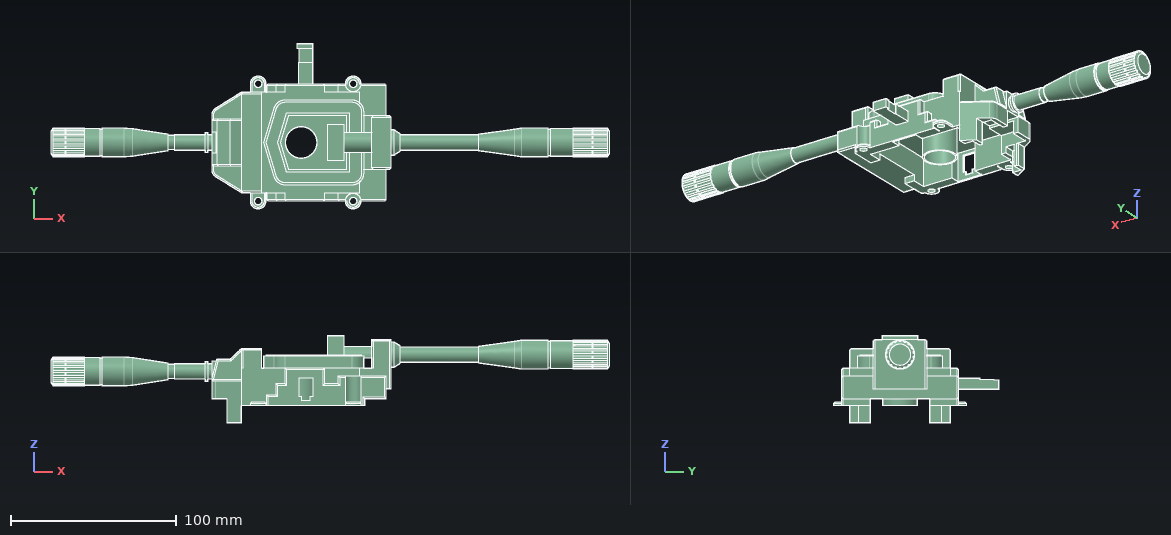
import cadquery as cq
import math


HALF_LENGTH = 168.7

DECK_Z = 22.5
SHELF_Z = 16.0
RAISED_Z = 4.0
CAVITY_TOP_Z = 19.0
HEAD_Z = 34.5
LEG_BOTTOM_Z = -10.5
TAB_THICKNESS = 2.2

BODY_HALF_WIDTH = 35.5
INNER_HALF_WIDTH = 30.5
CAVITY_HALF_WIDTH = 27.5
PASSAGE_HALF_WIDTH = 18.0
FRONT_X = -53.5
DECK_END_X = 17.5
TOE_END_X = 21.0
FOOT_END_X = 33.7
FOOT_TOP_Z = 18.0
EDGE_CHAMFER = 1.0
WALL = 3.5
BAY_WALL = 1.5
HEAD_END_X = -41.5

SHELF_FRONT_X = -71.5
SHELF_FRONT_HALF_WIDTH = 19.2
SHELF_CORNER_RADIUS = 5.0
SHELF_SLOT_HALF_WIDTH = 5.5
LEG_FRONT_X = -62.5
LEG_WALL = 2.7
LEG_INNER_HALF_WIDTH = 25.0
LEFT_AXIS_Z = 20.5
NOSE_HALF_WIDTH = 14.2
NOSE_TOP_Z = 28.0
NOSE_TOP_FRONT_X = -68.5
NOSE_TOP_REAR_X = -60.5
PAD_REAR_X = -69.0
PAD_HALF_SIZE = 6.5
PAD_Z = (LEFT_AXIS_Z - PAD_HALF_SIZE, LEFT_AXIS_Z + PAD_HALF_SIZE)

POST_X = (25.0, 36.8)
POST_Z = (10.0, 39.8)
POST_HALF_WIDTH = 16.2

RIM_TOP_Z = 30.5
RIM_SLOPE = 0.3
RIM_CORNER_RADIUS = 7.0
RIM_OUTER = (-40.0, 20.2, 25.5)
RIM_INNER = (-30.0, 9.8, 16.2)
RIM_OUTER_LEDGE = 1.5
RIM_INNER_LEDGE = 1.7
RIM_LEDGE_DEPTH = 0.5

TUBE_X = -17.5
TUBE_RADIUS = 10.5
TUBE_BORE_RADIUS = 9.5

FRONT_TAB_X = -43.5
REAR_TAB_X = 14.0
TAB_Y = 35.5
TAB_RADIUS = 4.7
TAB_HOLE_RADIUS = 2.2

STEP_X = (-38.5, -32.7, -27.3)
STEP_Z = (6.5, 13.0)
REAR_STEP_X = (-3.5, 4.7)

ARM_X = (-19.0, -10.5)
ARM_Z = (9.8, 16.5)
ARM_STEP_Y = 48.2
ARM_STEP = 1.0
ARM_SIDE_STEP = 0.5
ARM_END_Y = 59.7
ARM_LIP_LENGTH = 3.0
ARM_LIP = 1.18
ARM_LIP_DROP = 0.5
WINDOW_Z = (5.5, 16.5)
WINDOW_NOTCH_X = (-17.2, -12.0)
WINDOW_NOTCH_Z = 3.0

RIGHT_AXIS_Z = 30.7
ROD_RADIUS = 4.7
GRIP_RADIUS = 8.8
GRIP_ROOT_RADIUS = 5.0
SLEEVE_RADIUS = 8.5
SEAM_WIDTH = 1.5
SEAM_RADIUS = 8.0
TIP_CHAMFER = 1.5
TIP_RADIUS = 6.5
FLUTE_COUNT = 18
FLUTE_RADIUS = 0.85
FLUTE_BAND_GAP = 0.7

SPIGOT_END_X = -60.7
BOOT_X = (-75.5, -74.0)
BOOT_RADIUS = 6.0

COLLAR_END_X = 42.2
COLLAR_RIM = 1.7
COLLAR_RADIUS = 7.8
COLLAR_END_RADIUS = 5.5
SHAFT_AXIS_Z = 29.7
SHAFT_RADIUS = 6.0
SHAFT_FLAT_Z = 28.7
BLOCK_X = (-1.7, 8.5)
BLOCK_HALF_WIDTH = 10.8
BLOCK_TOP_Z = 42.2

OVERCUT = 3.5


def box(x, y, z):
    """Box between the (low, high) pairs x, y and z."""
    return cq.Workplane("XY").box(
        x[1] - x[0], y[1] - y[0], z[1] - z[0], centered=False
    ).translate((x[0], y[0], z[0]))


def centred_box(x, half_width, z):
    return box(x, (-half_width, half_width), z)


def cylinder(x, y, radius, z):
    """Upright cylinder centred on (x, y)."""
    return cq.Workplane("XY", origin=(x, y, z[0])).circle(radius).extrude(z[1] - z[0])


def mirror_pair(body):
    """The body together with its mirror image across Y = 0."""
    return body.union(body.mirror("XZ"))



def main_box():
    deck = centred_box((FRONT_X, DECK_END_X), BODY_HALF_WIDTH, (0, DECK_Z))
    toe = centred_box((DECK_END_X, TOE_END_X), BODY_HALF_WIDTH, (0, RAISED_Z))
    feet = centred_box((DECK_END_X, FOOT_END_X), BODY_HALF_WIDTH, (RAISED_Z, FOOT_TOP_Z))
    walls = deck.union(toe).union(feet).cut(side_steps())
    walls = walls.faces("<Y or >Y").edges("not <Z").chamfer(EDGE_CHAMFER)
    neck = centred_box((DECK_END_X, POST_X[0] + EDGE_CHAMFER), POST_HALF_WIDTH, (FOOT_TOP_Z, DECK_Z))
    return walls.union(neck)


def head_and_post():
    """Cross block above the front wall and the rear post that the shaft runs through."""
    head = centred_box((FRONT_X, HEAD_END_X), INNER_HALF_WIDTH, (DECK_Z, HEAD_Z))
    head = head.faces("<Y or >Y").edges(">Z or <X").chamfer(EDGE_CHAMFER)
    post = centred_box(POST_X, POST_HALF_WIDTH, POST_Z)
    post = post.faces("<Y or >Y").edges("not <Z").chamfer(EDGE_CHAMFER)
    return head.union(post)


def side_steps():
    """Cutter that sets both side walls back in steps, leaving the outer wall in the middle."""
    front = (
        cq.Workplane("XZ", origin=(0, -INNER_HALF_WIDTH, 0))
        .moveTo(FRONT_X - OVERCUT, -OVERCUT)
        .lineTo(STEP_X[0], -OVERCUT)
        .lineTo(STEP_X[0], STEP_Z[0])
        .lineTo(STEP_X[1], STEP_Z[0])
        .lineTo(STEP_X[1], STEP_Z[1])
        .lineTo(STEP_X[2], STEP_Z[1])
        .lineTo(STEP_X[2], DECK_Z + OVERCUT)
        .lineTo(FRONT_X - OVERCUT, DECK_Z + OVERCUT)
        .close()
        .extrude(BODY_HALF_WIDTH)
    )
    side = (-2 * BODY_HALF_WIDTH, -INNER_HALF_WIDTH)
    rear_low = box(REAR_STEP_X, side, (STEP_Z[1], DECK_Z + OVERCUT))
    rear_high = box((REAR_STEP_X[1], DECK_END_X), side, (FOOT_TOP_Z, DECK_Z + OVERCUT))
    return mirror_pair(front.union(rear_low).union(rear_high))


def screw_tabs():
    tabs = cylinder(REAR_TAB_X, -TAB_Y, TAB_RADIUS, (0, TAB_THICKNESS))
    tabs = tabs.union(cylinder(FRONT_TAB_X, -TAB_Y, TAB_RADIUS, (0, TAB_THICKNESS)))
    web_x = (FRONT_TAB_X - TAB_RADIUS, FRONT_TAB_X + TAB_RADIUS)
    web = box(web_x, (-TAB_Y, -INNER_HALF_WIDTH), (0, TAB_THICKNESS))
    return mirror_pair(tabs.union(web).faces(">Z").edges("<Y or %CIRCLE").chamfer(EDGE_CHAMFER))


def tab_holes():
    depth = (-OVERCUT, OVERCUT)
    rear = cylinder(REAR_TAB_X, -TAB_Y, TAB_HOLE_RADIUS, depth)
    front = cylinder(FRONT_TAB_X, -TAB_Y, TAB_HOLE_RADIUS, depth)
    return mirror_pair(rear.union(front))


def screwdriver_reliefs():
    """Upright round grooves in the side walls above the rear tabs."""
    return mirror_pair(cylinder(REAR_TAB_X, -TAB_Y, TAB_RADIUS, (TAB_THICKNESS, DECK_Z)))


def shelf_and_legs():
    """Tapered front shelf with an L-shaped leg hanging from each rear corner."""
    outline = (
        cq.Workplane("XY", origin=(0, 0, LEG_BOTTOM_Z))
        .polyline([
            (FRONT_X, -INNER_HALF_WIDTH),
            (FRONT_X, INNER_HALF_WIDTH),
            (SHELF_FRONT_X, SHELF_FRONT_HALF_WIDTH),
            (SHELF_FRONT_X, -SHELF_FRONT_HALF_WIDTH),
        ])
        .close()
        .extrude(SHELF_Z - LEG_BOTTOM_Z)
        .edges("|Z and <X")
        .fillet(SHELF_CORNER_RADIUS)
        .faces(">Z")
        .edges("not >X")
        .chamfer(EDGE_CHAMFER)
    )
    below = (LEG_BOTTOM_Z - OVERCUT, RAISED_Z)
    outline = outline.cut(
        centred_box((SHELF_FRONT_X - OVERCUT, LEG_FRONT_X), INNER_HALF_WIDTH + OVERCUT, below)
    )
    outline = outline.cut(centred_box((SHELF_FRONT_X, FRONT_X), PASSAGE_HALF_WIDTH, below))
    leg_inner_edges = outline.edges("|Z").edges(
        cq.selectors.BoxSelector(
            (LEG_FRONT_X - EDGE_CHAMFER, -PASSAGE_HALF_WIDTH - EDGE_CHAMFER, LEG_BOTTOM_Z),
            (LEG_FRONT_X + EDGE_CHAMFER, PASSAGE_HALF_WIDTH + EDGE_CHAMFER, RAISED_Z),
        )
    )
    outline = leg_inner_edges.chamfer(EDGE_CHAMFER)
    return outline.cut(centred_box((LEG_FRONT_X + LEG_WALL, FRONT_X), LEG_INNER_HALF_WIDTH, below))


def lever_nose():
    """Block on the shelf that carries the front lever, ramped up to the head, with a square pad."""
    block = (
        cq.Workplane("XZ", origin=(0, NOSE_HALF_WIDTH, 0))
        .polyline([
            (SHELF_FRONT_X, SHELF_Z),
            (NOSE_TOP_FRONT_X, NOSE_TOP_Z),
            (NOSE_TOP_REAR_X, NOSE_TOP_Z),
            (FRONT_X, HEAD_Z),
            (FRONT_X, SHELF_Z),
        ])
        .close()
        .extrude(2 * NOSE_HALF_WIDTH)
        .faces("<Y or >Y")
        .edges("(not <Z) and (not >X)")
        .chamfer(EDGE_CHAMFER)
    )
    return block.union(centred_box((SHELF_FRONT_X, PAD_REAR_X), PAD_HALF_SIZE, PAD_Z))


def rim_outline(outline, inset, z):
    """Pointed pocket outline, drawn in by inset (negative: grown), extruded over z."""
    apex_x, rear_x, half_width = outline
    apex_x += inset * math.hypot(1, RIM_SLOPE)
    rear_x -= inset
    half_width -= inset
    corner_x = apex_x + RIM_SLOPE * half_width
    return (
        cq.Workplane("XY", origin=(0, 0, z[0]))
        .polyline([
            (apex_x, 0),
            (corner_x, half_width),
            (rear_x, half_width),
            (rear_x, -half_width),
            (corner_x, -half_width),
        ])
        .close()
        .extrude(z[1] - z[0])
    )


def pocket_rim():
    """Raised wall round the pocket, with a shallow ledge along its outer and inner edge."""
    ledge_z = RIM_TOP_Z - RIM_LEDGE_DEPTH
    corners = "|Z and (not <X)"
    rim = rim_outline(RIM_OUTER, 0, (DECK_Z, ledge_z)).edges(corners).fillet(RIM_CORNER_RADIUS)
    top = rim_outline(RIM_OUTER, RIM_OUTER_LEDGE, (ledge_z, RIM_TOP_Z))
    rim = rim.union(top.edges(corners).fillet(RIM_CORNER_RADIUS - RIM_OUTER_LEDGE))
    rim = rim.cut(rim_outline(RIM_INNER, 0, (DECK_Z, RIM_TOP_Z)))
    return rim.cut(rim_outline(RIM_INNER, -RIM_INNER_LEDGE, (ledge_z, RIM_TOP_Z)))


def cavity():
    """Space under the deck, open at the bottom and, between the legs, at both ends."""
    room = centred_box((FRONT_X + WALL, DECK_END_X - WALL), CAVITY_HALF_WIDTH, (-OVERCUT, CAVITY_TOP_Z))
    passage = centred_box(
        (FRONT_X - OVERCUT, TOE_END_X + OVERCUT), PASSAGE_HALF_WIDTH, (-OVERCUT, RAISED_Z)
    )
    bay_x = (STEP_X[2] + WALL, REAR_STEP_X[0] - WALL)
    bay = centred_box(bay_x, BODY_HALF_WIDTH - BAY_WALL, (-OVERCUT, CAVITY_TOP_Z))
    shelf_room = centred_box(
        (SHELF_FRONT_X + WALL, FRONT_X + WALL), PASSAGE_HALF_WIDTH, (-OVERCUT, SHELF_Z - WALL)
    )
    slot = centred_box(
        (SHELF_FRONT_X - OVERCUT, FRONT_X + WALL), SHELF_SLOT_HALF_WIDTH, (-OVERCUT, PAD_Z[0])
    )
    return room.union(bay).union(passage).union(shelf_room).union(slot)


def side_window():
    wall = (-BODY_HALF_WIDTH - OVERCUT, -CAVITY_HALF_WIDTH)
    return box(ARM_X, wall, WINDOW_Z).union(box(WINDOW_NOTCH_X, wall, (WINDOW_NOTCH_Z, WINDOW_Z[0])))


def switch_arm():
    lip_y = ARM_END_Y - ARM_LIP_LENGTH
    tip_z = (ARM_Z[0], ARM_Z[1] - ARM_STEP)
    root = box((ARM_X[0] - ARM_SIDE_STEP, ARM_X[1]), (BODY_HALF_WIDTH - BAY_WALL, ARM_STEP_Y), ARM_Z)
    tip = box(ARM_X, (ARM_STEP_Y, lip_y), (tip_z[0], tip_z[1] + ARM_LIP_DROP))
    lip = box((ARM_X[0] - ARM_LIP, ARM_X[1]), (lip_y, ARM_END_Y), tip_z)
    return root.union(tip).union(lip)


def make_housing():
    housing = main_box().union(head_and_post()).cut(screwdriver_reliefs())
    housing = housing.union(screw_tabs()).cut(tab_holes())
    housing = housing.union(shelf_and_legs()).union(lever_nose()).union(pocket_rim())
    housing = housing.cut(cavity()).cut(side_window())
    housing = housing.union(cylinder(TUBE_X, 0, TUBE_RADIUS, (0, DECK_Z)))
    housing = housing.cut(cylinder(TUBE_X, 0, TUBE_BORE_RADIUS, (-OVERCUT, DECK_Z)))
    housing = housing.union(switch_arm())
    return housing.cut(lever_spigot()).cut(inner_shaft())



def turned(points, axis_z):
    """Solid of revolution about the X-parallel axis at axis_z from (x, radius) points."""
    profile = [(points[0][0], 0)] + points + [(points[-1][0], 0)]
    return (
        cq.Workplane("XZ", origin=(0, 0, axis_z))
        .polyline(profile)
        .close()
        .revolve(360, (0, 0), (1, 0))
    )


def flutes(bands, axis_z):
    """Cutters for the lengthwise grip grooves, one ring of them per (low, high) X band."""
    cutters = []
    for low, high in bands:
        for index in range(FLUTE_COUNT):
            angle = 2 * math.pi * (index + 0.5) / FLUTE_COUNT
            start = cq.Vector(
                low, GRIP_RADIUS * math.cos(angle), axis_z + GRIP_RADIUS * math.sin(angle)
            )
            cutters.append(cq.Solid.makeCylinder(FLUTE_RADIUS, high - low, start, cq.Vector(1, 0, 0)))
    return cq.Workplane(cq.Compound.makeCompound(cutters))


def grip(cone_start, cone_end, swell_end, seam, fluted_start, band_split, swell_radius, axis_z):
    """Grip on the +X side: cone, cylinder, seam groove and two fluted bands up to the tip."""
    body = turned([
        (cone_start, GRIP_ROOT_RADIUS),
        (cone_end, swell_radius),
        (swell_end, GRIP_RADIUS),
        (seam - SEAM_WIDTH / 2, GRIP_RADIUS),
        (seam - SEAM_WIDTH / 2, SEAM_RADIUS),
        (seam + SEAM_WIDTH / 2, SEAM_RADIUS),
        (seam + SEAM_WIDTH / 2, SLEEVE_RADIUS),
        (fluted_start, SLEEVE_RADIUS),
        (fluted_start, GRIP_RADIUS),
        (HALF_LENGTH - TIP_CHAMFER, GRIP_RADIUS),
        (HALF_LENGTH, TIP_RADIUS),
    ], axis_z)
    bands = [
        (fluted_start, band_split - FLUTE_BAND_GAP / 2),
        (band_split + FLUTE_BAND_GAP / 2, HALF_LENGTH - TIP_CHAMFER),
    ]
    return body.cut(flutes(bands, axis_z))


def lever_spigot():
    return turned([(BOOT_X[1], ROD_RADIUS), (SPIGOT_END_X, ROD_RADIUS)], LEFT_AXIS_Z)


def make_left_lever():
    neck_x = (-98.0, -94.0)
    neck_radius = 4.5
    rod = turned([
        (neck_x[0], neck_radius),
        (neck_x[1], neck_radius),
        (neck_x[1], ROD_RADIUS),
        (BOOT_X[0], ROD_RADIUS),
        (BOOT_X[0], BOOT_RADIUS),
        (BOOT_X[1], BOOT_RADIUS),
    ], LEFT_AXIS_Z)
    handle = grip(
        cone_start=-neck_x[0], cone_end=119.5, swell_end=124.5, seam=138.5, fluted_start=148.5,
        band_split=160.0, swell_radius=8.5, axis_z=LEFT_AXIS_Z,
    ).mirror("YZ")
    return rod.union(handle).union(lever_spigot())


def inner_shaft():
    """Flat-bottomed shaft from the contact block through the rear post."""
    span = (BLOCK_X[1], POST_X[1])
    shaft = turned([(span[0], SHAFT_RADIUS), (span[1], SHAFT_RADIUS)], SHAFT_AXIS_Z)
    return shaft.intersect(centred_box(span, SHAFT_RADIUS, (SHAFT_FLAT_Z, BLOCK_TOP_Z)))


def make_right_lever():
    cone_start = 89.5
    rod = turned([
        (POST_X[1], COLLAR_RADIUS),
        (POST_X[1] + COLLAR_RIM, COLLAR_RADIUS),
        (COLLAR_END_X, COLLAR_END_RADIUS),
        (COLLAR_END_X, ROD_RADIUS),
        (cone_start, ROD_RADIUS),
    ], RIGHT_AXIS_Z)
    handle = grip(
        cone_start=cone_start, cone_end=111.5, swell_end=115.5, seam=132.3, fluted_start=146.5,
        band_split=158.2, swell_radius=8.0, axis_z=RIGHT_AXIS_Z,
    )
    block = centred_box(BLOCK_X, BLOCK_HALF_WIDTH, (DECK_Z, BLOCK_TOP_Z))
    return rod.union(handle).union(block).union(inner_shaft())


housing = make_housing()
left_lever = make_left_lever()
right_lever = make_right_lever()

result = cq.Compound.makeCompound([housing.val(), left_lever.val(), right_lever.val()])